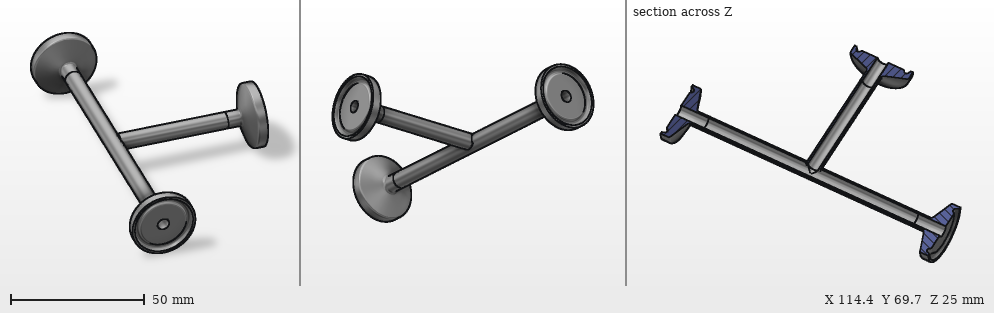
import cadquery as cq
import math

RUN_LENGTH = 114.4
BRANCH_REACH = 57.2

TUBE_RADIUS = 6.4 / 2
BORE_RADIUS = 4.6 / 2
BRANCH_SEAT = BORE_RADIUS

FLANGE_RADIUS = 25.0 / 2
FLANGE_LENGTH = 12.5
RIM_DEPTH = 3.8
NECK_DEPTH = 7.1
RIM_FILLET = 0.9
NECK_FILLET = 1.1

GROOVE_RADIUS = 10.2
GROOVE_HALF_WIDTH = 1.4
GROOVE_WALL_ANGLE = math.radians(65)
BOTTOM_HALF_WIDTH = 22.0 / 2 - GROOVE_RADIUS
BOTTOM_DEPTH = (GROOVE_HALF_WIDTH - BOTTOM_HALF_WIDTH) * math.tan(GROOVE_WALL_ANGLE)
BOTTOM_SAGITTA = BOTTOM_HALF_WIDTH * math.tan(GROOVE_WALL_ANGLE / 2)

RECESS_DEPTH = 0.7
BOTTOM_INNER_RADIUS = GROOVE_RADIUS - BOTTOM_HALF_WIDTH
RECESS_RADIUS = BOTTOM_INNER_RADIUS - (BOTTOM_DEPTH - RECESS_DEPTH) / math.tan(GROOVE_WALL_ANGLE)
GROOVE_LIP_FILLET = 0.8


def cylinder(radius, start, direction, length):
    solid = cq.Solid.makeCylinder(radius, length, cq.Vector(*start), cq.Vector(*direction))
    return cq.Workplane(solid)


def revolved(half_profile):
    """Turn a closed profile (X = radius, Z = depth) about the Z axis."""
    return half_profile.close().revolve(360, (0, 0, 0), (0, 1, 0))


def flange_blank():
    """Flange with its end face on Z = 0 and its neck pointing along +Z."""
    body = revolved(
        cq.Workplane("XZ")
        .moveTo(BORE_RADIUS, 0)
        .lineTo(FLANGE_RADIUS, 0)
        .lineTo(FLANGE_RADIUS, RIM_DEPTH)
        .lineTo(TUBE_RADIUS, NECK_DEPTH)
        .lineTo(TUBE_RADIUS, FLANGE_LENGTH)
        .lineTo(BORE_RADIUS, FLANGE_LENGTH)
    )
    body = body.faces("%CONE").edges("%CIRCLE and <Z").fillet(RIM_FILLET)
    body = body.faces("%CONE").edges("%CIRCLE and >Z").fillet(NECK_FILLET)
    face_recess = revolved(
        cq.Workplane("XZ")
        .moveTo(0, 0)
        .lineTo(0, RECESS_DEPTH)
        .lineTo(RECESS_RADIUS, RECESS_DEPTH)
        .lineTo(BOTTOM_INNER_RADIUS, BOTTOM_DEPTH)
        .threePointArc(
            (GROOVE_RADIUS, BOTTOM_DEPTH + BOTTOM_SAGITTA),
            (GROOVE_RADIUS + BOTTOM_HALF_WIDTH, BOTTOM_DEPTH),
        )
        .lineTo(GROOVE_RADIUS + GROOVE_HALF_WIDTH, 0)
    )
    body = body.cut(face_recess)
    flat_middle = body.faces(cq.NearestToPointSelector((0, 0, RECESS_DEPTH)))
    return flat_middle.edges(cq.selectors.RadiusNthSelector(-1)).fillet(GROOVE_LIP_FILLET)


def make_flange(face_center, inward):
    """Place a flange with its end face at face_center and its neck pointing inward."""
    plane = cq.Plane(origin=face_center, xDir=(0, 0, 1), normal=inward)
    return flange_blank().solids().val().moved(cq.Location(plane))


def make_run_tube():
    """Straight tube with a seat and a port for the branch on its +Y side."""
    half_length = RUN_LENGTH / 2 - FLANGE_LENGTH
    start = (-half_length, 0, 0)
    tube = cylinder(TUBE_RADIUS, start, (1, 0, 0), 2 * half_length)
    bore = cylinder(BORE_RADIUS, start, (1, 0, 0), 2 * half_length)
    seat = cylinder(TUBE_RADIUS, (0, BRANCH_SEAT, 0), (0, 1, 0), TUBE_RADIUS)
    port = cylinder(BORE_RADIUS, (0, 0, 0), (0, 1, 0), TUBE_RADIUS)
    return tube.cut(bore).cut(seat).cut(port).solids()


def make_branch_tube():
    """Plain tube from the seat in the run tube to the branch flange."""
    start = (0, BRANCH_SEAT, 0)
    length = BRANCH_REACH - FLANGE_LENGTH - BRANCH_SEAT
    tube = cylinder(TUBE_RADIUS, start, (0, 1, 0), length)
    return tube.cut(cylinder(BORE_RADIUS, start, (0, 1, 0), length)).solids()


FLANGE_PLACES = [
    ((-RUN_LENGTH / 2, 0, 0), (1, 0, 0)),
    ((RUN_LENGTH / 2, 0, 0), (-1, 0, 0)),
    ((0, BRANCH_REACH, 0), (0, -1, 0)),
]

run_tube = make_run_tube()
branch_tube = make_branch_tube()
flanges = [make_flange(face_center, inward) for face_center, inward in FLANGE_PLACES]

result = cq.Compound.makeCompound([run_tube.val(), branch_tube.val(), *flanges])